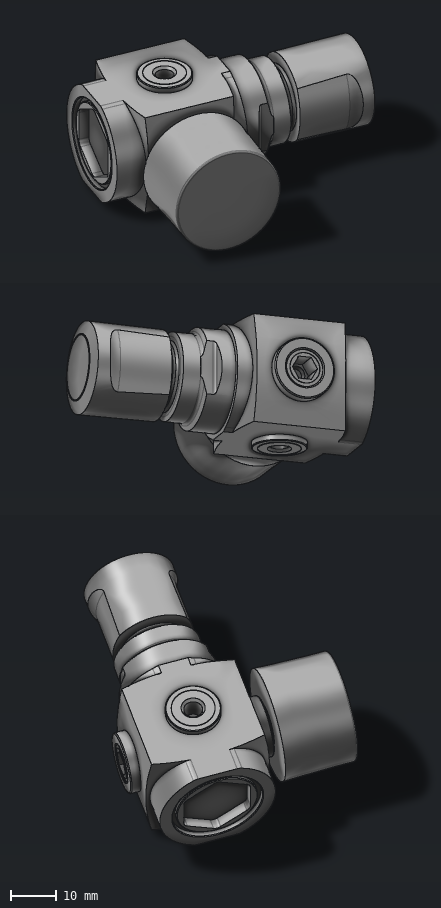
import cadquery as cq
import math


BLOCK_HALF_X = 14.4
BLOCK_HALF_Y = 12.4
BLOCK_HALF_Z = 12.5
END_CROWN_RADIUS = 52.9
SIDE_CROWN_RADIUS = 62.8

FRONT_Y = -17.7
FRONT_COLLAR_RADIUS = 13.5
FRONT_COLLAR_FILLET = 2.65
BACK_COLLAR_END_Y = 14.4
BACK_COLLAR_RADIUS = 12.75
BACK_TAB_TOP_HALF_X = 3.45
BACK_TAB_FOOT_HALF_X = 4.75

CAP_BORE_DIAMETER = 21.0
CAP_DISC_DIAMETER = 19.0
CAP_EDGE_CHAMFER = 0.2
CAP_RECESS = 0.4
CAP_GROOVE_DEPTH = 1.3
CAP_HEX_FLATS = 15.5
CAP_HEX_FILLET = 1.65
CAP_HEX_DEPTH = 2.85

PORT_BOSS_DIAMETER = 12.4
PORT_BOSS_HALF_Z = 13.9
PORT_BOSS_CHAMFER = 0.2
PORT_DISC_DIAMETER = 9.7
PORT_DISC_HALF_Z = 14.0
PORT_HOLE_DIAMETER = 4.15
PORT_HOLE_CHAMFER = 0.6
PORT_HOLE_DEPTH = 5.3

SIDE_BOSS_DIAMETER = 14.0
SIDE_BOSS_END_X = 16.7
SIDE_BOSS_CHAMFER = 0.25
SIDE_BORE_DIAMETER = 8.6
SIDE_BORE_CHAMFER = 0.3
SIDE_BORE_DEPTH = 8.6

BONNET_RADIUS = 11.6
BONNET_CONE_ANGLE = 60.0
BONNET_FILLET = 1.0
RING_RADIUS = 10.05
RING_BOTTOM_Y = 22.1
RING_EDGE_Y = 26.2
RING_TOP_Y = 26.5
RING_TOP_SLOPE = 1.05
NECK_RADIUS = 7.85
GROOVE_RADIUS = 7.55
GROOVE_START_Y = 27.1
GROOVE_END_Y = 27.75
NECK_FOOT = 0.5
FLAT_X = 9.8
FLAT_START_Y = 18.65
FLAT_RUNOUT_Y = 17.65
FLAT_FILLET = 0.8

KNOB_BOTTOM_Y = 28.7
KNOB_RIM_Y = 46.4
KNOB_TOP_Y = FRONT_Y + 66.1
KNOB_BOTTOM_RADIUS = 10.3
KNOB_RIM_RADIUS = 10.5
DOME_GROOVE_RADIUS = 7.3
DOME_GROOVE_WIDTH = 0.25
DOME_GROOVE_FLOOR_Y = 47.3
GRIP_CROWN_X = 9.45
GRIP_RADIUS = 14.8
GRIP_STRAIGHT_END_Y = 40.8
GRIP_RUNOUT_RADIUS = 4.35

PLUG_FACE_DIAMETER = 7.0
PLUG_FACE_STEP = 0.1
PLUG_HEX_FLATS = 5.1
PLUG_HEX_DEPTH = 5.95
PLUG_DRILL_DIAMETER = 4.15
PLUG_DRILL_TIP_DIAMETER = 3.1
PLUG_DRILL_DEPTH = 0.65

GAUGE_NECK_DIAMETER = 9.7
GAUGE_START_X = 17.3
GAUGE_END_X = 34.3
GAUGE_START_RADIUS = 13.0
GAUGE_END_RADIUS = 12.7
GAUGE_EDGE_FILLET = 0.4

MARGIN = 3.3


def y_cylinder(radius, start_y, end_y):
    """Cylinder around the Y axis."""
    return cq.Workplane("XZ", origin=(0, start_y, 0)).circle(radius).extrude(start_y - end_y)


def x_cylinder(radius, start_x, end_x):
    """Cylinder around the X axis."""
    return cq.Workplane("YZ", origin=(start_x, 0, 0)).circle(radius).extrude(end_x - start_x)


def crowned_prism(plane, crown, radius, half_width, half_length):
    """Prism whose two faces across the second axis of the plane bulge as arcs."""
    edge = crown - radius + math.sqrt(radius**2 - half_width**2)
    return (
        cq.Workplane(plane)
        .moveTo(-half_width, -edge)
        .threePointArc((0, -crown), (half_width, -edge))
        .lineTo(half_width, edge)
        .threePointArc((0, crown), (-half_width, edge))
        .close()
        .extrude(half_length, both=True)
    )


def block():
    front_and_back = crowned_prism("XY", BLOCK_HALF_Y, END_CROWN_RADIUS, BLOCK_HALF_X, BLOCK_HALF_Z)
    sides = crowned_prism("ZX", BLOCK_HALF_X, SIDE_CROWN_RADIUS, BLOCK_HALF_Z, BLOCK_HALF_Y)
    return front_and_back.intersect(sides)


def flat_collar(radius, end_y):
    """Round collar flattened at the top and bottom faces of the block."""
    slab = cq.Workplane("XY").box(4 * radius, 4 * radius, 2 * BLOCK_HALF_Z)
    return y_cylinder(radius, 0, end_y).intersect(slab)


def front_collar():
    return flat_collar(FRONT_COLLAR_RADIUS, FRONT_Y).edges("|Y").fillet(FRONT_COLLAR_FILLET)


def back_collar():
    """Collar whose narrow flats widen into tabs that slope down to the round side."""
    foot_z = math.sqrt(BACK_COLLAR_RADIUS**2 - BACK_TAB_FOOT_HALF_X**2)
    tabs = (
        cq.Workplane("XZ")
        .moveTo(0, BLOCK_HALF_Z)
        .lineTo(BACK_TAB_TOP_HALF_X, BLOCK_HALF_Z)
        .lineTo(BACK_TAB_FOOT_HALF_X, foot_z)
        .lineTo(BACK_TAB_FOOT_HALF_X, -foot_z)
        .lineTo(BACK_TAB_TOP_HALF_X, -BLOCK_HALF_Z)
        .lineTo(0, -BLOCK_HALF_Z)
        .mirrorY()
        .extrude(-BACK_COLLAR_END_Y)
    )
    return flat_collar(BACK_COLLAR_RADIUS, BACK_COLLAR_END_Y).union(tabs)


def cap_recess():
    """Recess with a groove around the end cap and a rounded hexagon sunk into the cap."""
    bore = y_cylinder(CAP_BORE_DIAMETER / 2, FRONT_Y, FRONT_Y + CAP_GROOVE_DEPTH)
    mouth = (
        cq.Workplane("XZ", origin=(0, FRONT_Y, 0))
        .circle(CAP_BORE_DIAMETER / 2 + CAP_EDGE_CHAMFER)
        .workplane(offset=-CAP_EDGE_CHAMFER)
        .circle(CAP_BORE_DIAMETER / 2)
        .loft()
    )
    disc = y_cylinder(CAP_DISC_DIAMETER / 2, FRONT_Y + CAP_RECESS, FRONT_Y + CAP_GROOVE_DEPTH)
    disc = disc.faces("<Y").chamfer(CAP_EDGE_CHAMFER)
    hexagon = (
        cq.Workplane("XZ", origin=(0, FRONT_Y, 0))
        .polygon(6, CAP_HEX_FLATS, circumscribed=True)
        .extrude(-CAP_HEX_DEPTH)
        .edges("|Y")
        .fillet(CAP_HEX_FILLET)
    )
    return bore.union(mouth).cut(disc).union(hexagon)


def port_bosses():
    bosses = (
        cq.Workplane("XY")
        .circle(PORT_BOSS_DIAMETER / 2)
        .extrude(PORT_BOSS_HALF_Z, both=True)
        .faces("<Z or >Z")
        .chamfer(PORT_BOSS_CHAMFER)
    )
    discs = cq.Workplane("XY").circle(PORT_DISC_DIAMETER / 2).extrude(PORT_DISC_HALF_Z, both=True)
    return bosses.union(discs)


def port_hole():
    """Chamfered blind hole of the upper port."""
    radius = PORT_HOLE_DIAMETER / 2
    top = PORT_DISC_HALF_Z
    return (
        cq.Workplane("XZ")
        .moveTo(0, top)
        .lineTo(radius + PORT_HOLE_CHAMFER, top)
        .lineTo(radius, top - PORT_HOLE_CHAMFER)
        .lineTo(radius, top - PORT_HOLE_DEPTH)
        .lineTo(0, top - PORT_HOLE_DEPTH)
        .close()
        .revolve(360, (0, 0), (0, 1))
    )


def side_bosses():
    boss = x_cylinder(SIDE_BOSS_DIAMETER / 2, -SIDE_BOSS_END_X, SIDE_BOSS_END_X)
    return boss.faces("<X or >X").chamfer(SIDE_BOSS_CHAMFER)


def side_bore():
    """Blind bore of the +X boss, with a chamfered mouth."""
    radius = SIDE_BORE_DIAMETER / 2
    mouth = SIDE_BOSS_END_X
    return (
        cq.Workplane("XY")
        .moveTo(mouth, 0)
        .lineTo(mouth, radius + SIDE_BORE_CHAMFER)
        .lineTo(mouth - SIDE_BORE_CHAMFER, radius)
        .lineTo(mouth - SIDE_BORE_DEPTH, radius)
        .lineTo(mouth - SIDE_BORE_DEPTH, 0)
        .close()
        .revolve(360, (0, 0), (1, 0))
    )


def bonnet():
    """Turned bonnet, its clamping ring and the grooved neck under the knob."""
    angle = math.radians(BONNET_CONE_ANGLE)
    cone_top_radius = RING_RADIUS + BONNET_FILLET * (1 - math.cos(angle))
    cone_top_y = RING_BOTTOM_Y - BONNET_FILLET * math.sin(angle)
    shoulder_y = cone_top_y - (BONNET_RADIUS - cone_top_radius) / math.tan(angle)
    bead_middle_y = (GROOVE_END_Y + KNOB_BOTTOM_Y) / 2
    return (
        cq.Workplane("XY")
        .moveTo(0, 0)
        .lineTo(BONNET_RADIUS, 0)
        .lineTo(BONNET_RADIUS, shoulder_y)
        .lineTo(cone_top_radius, cone_top_y)
        .tangentArcPoint((RING_RADIUS, RING_BOTTOM_Y), relative=False)
        .lineTo(RING_RADIUS, RING_EDGE_Y)
        .lineTo(RING_RADIUS - RING_TOP_SLOPE, RING_TOP_Y)
        .lineTo(GROOVE_RADIUS + NECK_FOOT, RING_TOP_Y)
        .lineTo(GROOVE_RADIUS, GROOVE_START_Y)
        .lineTo(GROOVE_RADIUS, GROOVE_END_Y)
        .threePointArc((NECK_RADIUS, bead_middle_y), (GROOVE_RADIUS, KNOB_BOTTOM_Y))
        .lineTo(0, KNOB_BOTTOM_Y)
        .close()
        .revolve(360, (0, 0), (0, 1))
    )


def wrench_flat():
    """Cutter for the wrench flat on the +X side of the bonnet."""
    outer_x = BONNET_RADIUS + MARGIN
    return (
        cq.Workplane("XY")
        .moveTo(FLAT_X, RING_BOTTOM_Y)
        .lineTo(FLAT_X, FLAT_START_Y)
        .lineTo(BONNET_RADIUS, FLAT_RUNOUT_Y)
        .lineTo(outer_x, FLAT_RUNOUT_Y)
        .lineTo(outer_x, RING_BOTTOM_Y)
        .close()
        .extrude(BONNET_RADIUS, both=True)
        .edges(cq.selectors.NearestToPointSelector((FLAT_X, FLAT_START_Y, 0)))
        .fillet(FLAT_FILLET)
    )


def knob_blank():
    """Slightly tapered knob with a domed end."""
    rise = KNOB_TOP_Y - KNOB_RIM_Y
    dome_radius = (KNOB_RIM_RADIUS**2 + rise**2) / (2 * rise)
    middle_x = KNOB_RIM_RADIUS / 2
    middle_y = KNOB_TOP_Y - dome_radius + math.sqrt(dome_radius**2 - middle_x**2)
    return (
        cq.Workplane("XY")
        .moveTo(0, KNOB_BOTTOM_Y)
        .lineTo(KNOB_BOTTOM_RADIUS, KNOB_BOTTOM_Y)
        .lineTo(KNOB_RIM_RADIUS, KNOB_RIM_Y)
        .threePointArc((middle_x, middle_y), (0, KNOB_TOP_Y))
        .close()
        .revolve(360, (0, 0), (0, 1))
    )


def dome_groove():
    """Fine circular groove in the dome of the knob."""
    outer = y_cylinder(DOME_GROOVE_RADIUS + DOME_GROOVE_WIDTH, DOME_GROOVE_FLOOR_Y, KNOB_TOP_Y)
    return outer.cut(y_cylinder(DOME_GROOVE_RADIUS, DOME_GROOVE_FLOOR_Y, KNOB_TOP_Y))


def grip_cutter():
    """Ring around an axis parallel to Y that shaves the +X side of the knob to a flatter curve."""
    axis_x = GRIP_CROWN_X - GRIP_RADIUS
    start_y = KNOB_BOTTOM_Y
    runout_x = GRIP_CROWN_X + GRIP_RUNOUT_RADIUS
    runout_y = GRIP_STRAIGHT_END_Y + GRIP_RUNOUT_RADIUS
    reach = 2 * (GRIP_RADIUS + GRIP_RUNOUT_RADIUS)
    plus_x_half = cq.Workplane("XY").box(
        reach, 2 * KNOB_TOP_Y, 2 * reach, centered=(False, True, True)
    )
    diagonal = GRIP_RUNOUT_RADIUS * math.sqrt(0.5)
    return (
        cq.Workplane("XY")
        .moveTo(GRIP_CROWN_X, start_y)
        .lineTo(GRIP_CROWN_X, GRIP_STRAIGHT_END_Y)
        .threePointArc(
            (runout_x - diagonal, GRIP_STRAIGHT_END_Y + diagonal),
            (runout_x, runout_y),
        )
        .lineTo(runout_x, start_y)
        .close()
        .revolve(360, (axis_x, 0), (axis_x, 1))
        .intersect(plus_x_half)
    )


def both_sides_x(shape):
    return shape.union(shape.mirror("YZ"))


def make_housing():
    knob = knob_blank().cut(dome_groove()).cut(both_sides_x(grip_cutter()))
    turned_bonnet = bonnet().cut(both_sides_x(wrench_flat()))
    hole = port_hole()
    return (
        block()
        .union(front_collar())
        .union(back_collar())
        .union(port_bosses())
        .union(side_bosses())
        .union(turned_bonnet)
        .union(knob)
        .cut(cap_recess())
        .cut(hole)
        .cut(hole.mirror("XY"))
        .cut(both_sides_x(side_bore()))
    )


def make_plug():
    """Plug filling the -X bore, its stepped face level with the boss."""
    face_x = -SIDE_BOSS_END_X
    bottom_x = face_x + SIDE_BORE_DEPTH
    socket_x = face_x + PLUG_HEX_DEPTH
    body = x_cylinder(SIDE_BORE_DIAMETER / 2, face_x + PLUG_FACE_STEP, bottom_x)
    face = x_cylinder(PLUG_FACE_DIAMETER / 2, face_x, bottom_x)
    socket = (
        cq.Workplane("ZY", origin=(face_x, 0, 0))
        .polygon(6, PLUG_HEX_FLATS, circumscribed=True)
        .extrude(-PLUG_HEX_DEPTH)
    )
    drill = (
        cq.Workplane("YZ", origin=(socket_x, 0, 0))
        .circle(PLUG_DRILL_DIAMETER / 2)
        .workplane(offset=PLUG_DRILL_DEPTH)
        .circle(PLUG_DRILL_TIP_DIAMETER / 2)
        .loft()
    )
    return body.union(face).cut(socket).cut(drill)


def make_gauge():
    """Gauge case with its neck against the boss and its stem filling the +X bore."""
    case = (
        cq.Workplane("XY")
        .moveTo(GAUGE_START_X, 0)
        .lineTo(GAUGE_START_X, GAUGE_START_RADIUS)
        .lineTo(GAUGE_END_X, GAUGE_END_RADIUS)
        .lineTo(GAUGE_END_X, 0)
        .close()
        .revolve(360, (0, 0), (1, 0))
        .faces(">X")
        .edges()
        .fillet(GAUGE_EDGE_FILLET)
    )
    neck = x_cylinder(GAUGE_NECK_DIAMETER / 2, SIDE_BOSS_END_X, GAUGE_START_X)
    stem = x_cylinder(SIDE_BORE_DIAMETER / 2, SIDE_BOSS_END_X - SIDE_BORE_DEPTH, SIDE_BOSS_END_X)
    return case.union(neck).union(stem)


housing = make_housing()
plug = make_plug()
gauge = make_gauge()

result = cq.Compound.makeCompound([housing.val(), plug.val(), gauge.val()])